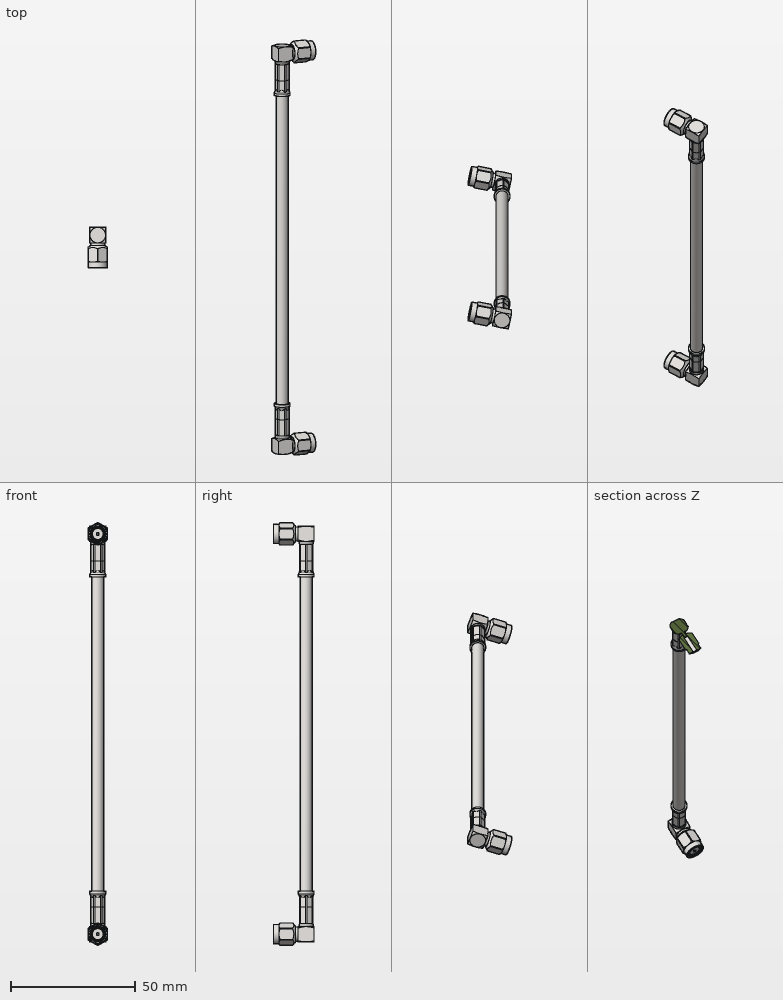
import cadquery as cq
import math

overall_height = 170.1
overall_depth = 16.5

hexagon_corner_ratio = 1 / math.cos(math.radians(30))

nut_flats = 8.0
nut_corner_diameter = 9.0
nut_length = 9.0
nut_collar_diameter = 7.8
nut_collar_length = 2.4
nut_edge_chamfer = 0.2
nut_front_cone_diameter = 8.2
nut_front_cone_length = 0.3
nut_rear_diameter = 6.3
nut_rear_cone_length = 1.2
nut_bore_diameter = 5.8
nut_bore_mouth_diameter = 6.5
nut_bore_mouth_depth = 0.2

block_side = 6.5
block_height = 6.3
block_top_diameter = 6.3
block_top_cone_length = 0.5
block_bottom_diameter = 5.8
block_bottom_cone_length = 0.7
neck_length = 2.4
snout_diameter = 5.5
snout_recess = 0.3
snout_mouth_diameter = 5.0
insulator_diameter = 4.5
insulator_recess = 0.2
pin_diameter = 1.2
pin_tip_diameter = 0.94
pin_tip_length = 0.09
shoulder_diameter = 5.8
shoulder_tip_diameter = 5.5
shoulder_length = 1.2
shoulder_cone_length = 0.7
tail_length = 6.6

ferrule_flats = 5.3
ferrule_corner_diameter = 5.8
ferrule_length = 13.0
collar_diameter = 6.5
collar_rim_length = 1.0
collar_cone_length = 0.7
flat_runout_length = 0.9

cable_diameter = 5.0

axis_height = (overall_height - nut_corner_diameter) / 2
block_top = axis_height + block_height / 2
block_bottom = axis_height - block_height / 2
shoulder_bottom = block_bottom - shoulder_length
tail_bottom = shoulder_bottom - tail_length
ferrule_bottom = shoulder_bottom - ferrule_length
nut_front = block_side / 2 - overall_depth
nut_rear = nut_front + nut_length
nut_hex_front = nut_front + nut_collar_length
snout_front = nut_front + snout_recess
neck_front = -block_side / 2 - neck_length


def revolve_about_cable(profile):
    """Solid of revolution about the cable axis from (diameter, z) points."""
    points = [(diameter / 2, z) for diameter, z in profile]
    return cq.Workplane("XZ").polyline(points).close().revolve(360, (0, 0), (0, 1))


def revolve_about_connector(profile):
    """Solid of revolution about the upper connector axis from (diameter, y) points."""
    points = [(diameter / 2, y) for diameter, y in profile]
    turned = cq.Workplane("XY").polyline(points).close().revolve(360, (0, 0), (0, 1))
    return turned.translate((0, 0, axis_height))


def make_nut():
    """Coupling nut with two hexagon corners up and down, coned hexagon ends and a flared bore."""
    hexagon = (
        cq.Workplane("XZ", origin=(0, nut_rear, axis_height))
        .transformed(rotate=(0, 0, 90))
        .polygon(6, nut_flats * hexagon_corner_ratio)
        .extrude(nut_rear - nut_hex_front)
    )
    trimmed_ends = revolve_about_connector([
        (0, nut_rear),
        (nut_rear_diameter, nut_rear),
        (nut_corner_diameter, nut_rear - nut_rear_cone_length),
        (nut_corner_diameter, nut_hex_front + nut_front_cone_length),
        (nut_front_cone_diameter, nut_hex_front),
        (0, nut_hex_front),
    ])
    collar = (
        cq.Workplane("XZ", origin=(0, nut_hex_front, axis_height))
        .circle(nut_collar_diameter / 2)
        .extrude(nut_collar_length)
        .faces("<Y")
        .chamfer(nut_edge_chamfer)
    )
    bore = revolve_about_connector([
        (0, nut_rear),
        (nut_bore_diameter, nut_rear),
        (nut_bore_diameter, nut_front + nut_bore_mouth_depth),
        (nut_bore_mouth_diameter, nut_front),
        (0, nut_front),
    ])
    return hexagon.intersect(trimmed_ends).union(collar).cut(bore)


def make_block():
    """Square block whose corners are turned to cones at the top and the bottom."""
    square = (
        cq.Workplane("XY", origin=(0, 0, block_bottom))
        .rect(block_side, block_side)
        .extrude(block_height)
    )
    diagonal = block_side * math.sqrt(2)
    turned_ends = revolve_about_cable([
        (0, block_bottom),
        (block_bottom_diameter, block_bottom),
        (diagonal, block_bottom + block_bottom_cone_length),
        (diagonal, block_top - block_top_cone_length),
        (block_top_diameter, block_top),
        (0, block_top),
    ])
    return square.intersect(turned_ends)


def make_stem():
    """Neck that fits the nut bore, a snout with a flared mouth, the insulator face and the pin."""
    insulator_front = snout_front + insulator_recess
    return revolve_about_connector([
        (0, 0),
        (nut_bore_diameter, 0),
        (nut_bore_diameter, neck_front),
        (snout_diameter, neck_front),
        (snout_diameter, snout_front),
        (snout_mouth_diameter, snout_front),
        (insulator_diameter, insulator_front),
        (pin_diameter, insulator_front),
        (pin_diameter, snout_front + pin_tip_length),
        (pin_tip_diameter, snout_front),
        (0, snout_front),
    ])


def make_body():
    """Connector body: block, stem toward the nut, and coned shoulder with a tail inside the ferrule."""
    shoulder_and_tail = revolve_about_cable([
        (0, axis_height),
        (shoulder_diameter, axis_height),
        (shoulder_diameter, shoulder_bottom + shoulder_cone_length),
        (shoulder_tip_diameter, shoulder_bottom),
        (cable_diameter, shoulder_bottom),
        (cable_diameter, tail_bottom),
        (0, tail_bottom),
    ])
    return make_block().union(shoulder_and_tail).union(make_stem())


def make_ferrule():
    """Crimp ferrule with two hexagon corners along X, a coned collar and a through bore."""
    round_sleeve = (
        cq.Workplane("XY", origin=(0, 0, ferrule_bottom))
        .circle(ferrule_corner_diameter / 2)
        .extrude(ferrule_length)
    )
    hexagon = (
        cq.Workplane("XY", origin=(0, 0, ferrule_bottom))
        .polygon(6, ferrule_flats * hexagon_corner_ratio)
        .extrude(ferrule_length)
    )
    rim_top = ferrule_bottom + collar_rim_length
    cone_top = rim_top + collar_cone_length
    runout_top = cone_top + flat_runout_length
    collar = revolve_about_cable([
        (0, ferrule_bottom),
        (collar_diameter, ferrule_bottom),
        (collar_diameter, rim_top),
        (ferrule_corner_diameter, cone_top),
        (ferrule_flats, runout_top),
        (0, runout_top),
    ])
    bore = (
        cq.Workplane("XY", origin=(0, 0, ferrule_bottom))
        .circle(cable_diameter / 2)
        .extrude(ferrule_length)
    )
    return round_sleeve.intersect(hexagon).union(collar).cut(bore)


def make_cable():
    """Round cable that ends against the tails of both connector bodies."""
    return (
        cq.Workplane("XY", origin=(0, 0, -tail_bottom))
        .circle(cable_diameter / 2)
        .extrude(2 * tail_bottom)
    )


solids = [make_cable().val()]
for make_part in (make_body, make_nut, make_ferrule):
    upper_part = make_part()
    lower_part = upper_part.mirror("XY")
    solids.append(upper_part.val())
    solids.append(lower_part.val())

result = cq.Compound.makeCompound(solids)